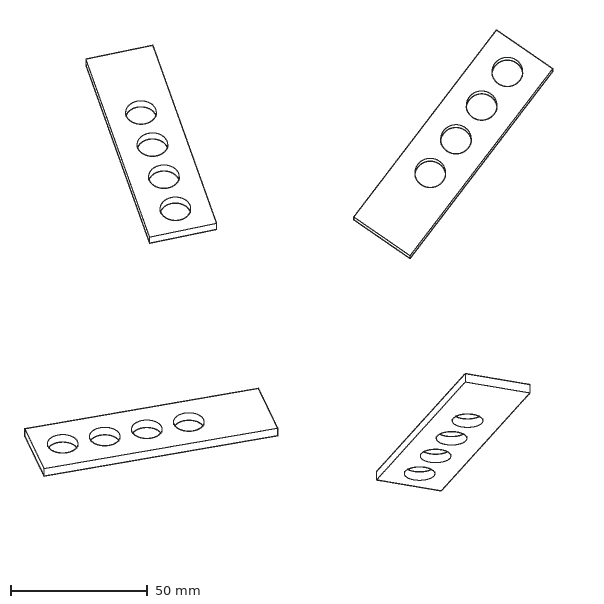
import cadquery as cq

length = 88.9
width = 25.4
thickness = 3.5

hole_diameter = 11.2
hole_count = 4
hole_pitch = 16.0
end_margin = 10.8

last_hole_x = length / 2 - end_margin
hole_centres = [(last_hole_x - i * hole_pitch, 0) for i in range(hole_count)]

plate = cq.Workplane("XY").box(length, width, thickness)
result = plate.faces(">Z").workplane().pushPoints(hole_centres).hole(hole_diameter)